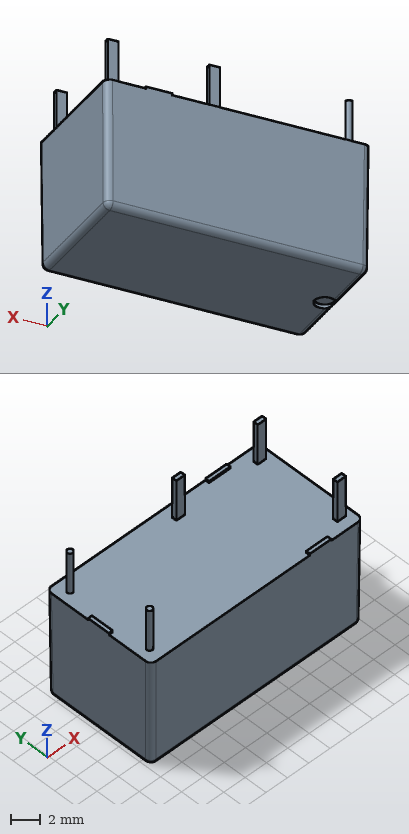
import cadquery as cq
import math

case_length = 19.9
case_width = 10.0
overall_height = 13.55
pin_length = 3.75
case_height = overall_height - pin_length
wall_inset = 0.08
corner_radius = 0.5
bottom_radius = 0.5

tab_length = 1.99
tab_depth = 0.35
tab_height = 0.14
side_tab_x = 5.95

dimple_diameter = 1.5
dimple_edge_gap = 0.2
dimple_depth = 0.3

pin_row_spacing = 7.62
pin_row_y = pin_row_spacing / 2
coil_pin_x = -8.9
coil_pin_diameter = 0.5
contact_pin_x = 8.9
common_pin_x = contact_pin_x - pin_row_spacing
contact_pin_width = 0.8
contact_pin_thickness = 0.4


def make_blank():
    """Tapered box reaching up to the tab tops, with rounded corners and a rounded lower rim."""
    blank_height = case_height + tab_height
    draft_angle = math.degrees(math.atan(wall_inset / blank_height))
    box = (
        cq.Workplane("XY", origin=(0, 0, tab_height))
        .rect(case_length, case_width)
        .extrude(-blank_height, taper=draft_angle)
    )
    rounded = box.edges("not(#Z)").fillet(corner_radius)
    return rounded.faces("<Z").edges().fillet(bottom_radius)


def make_top_clearance():
    """Layer removed from the blank's top at Z = 0, leaving a tab on the -X edge and on each long edge."""
    side_tab_y = (case_width - tab_depth) / 2
    end_tab_x = -(case_length - tab_depth) / 2
    top = cq.Workplane("XY")
    layer = top.rect(case_length, case_width).extrude(tab_height)
    side_tabs = (
        top.pushPoints([(side_tab_x, -side_tab_y), (side_tab_x, side_tab_y)])
        .rect(tab_length, tab_depth)
        .extrude(tab_height)
    )
    end_tab = top.center(end_tab_x, 0).rect(tab_depth, tab_length).extrude(tab_height)
    return layer.cut(side_tabs).cut(end_tab)


def make_dimple():
    """Shallow round recess in the underside that breaks into the rounded rim at the -X end."""
    center_x = -case_length / 2 + dimple_edge_gap + dimple_diameter / 2
    return (
        cq.Workplane("XY", origin=(center_x, 0, -case_height))
        .circle(dimple_diameter / 2)
        .extrude(dimple_depth)
    )


def make_pins():
    """All pins rise to the same height above the top face."""
    coil_pins = (
        cq.Workplane("XY")
        .pushPoints([(coil_pin_x, -pin_row_y), (coil_pin_x, pin_row_y)])
        .circle(coil_pin_diameter / 2)
        .extrude(pin_length)
    )
    contact_pins = (
        cq.Workplane("XY")
        .pushPoints([(contact_pin_x, -pin_row_y), (contact_pin_x, pin_row_y), (common_pin_x, pin_row_y)])
        .rect(contact_pin_width, contact_pin_thickness)
        .extrude(pin_length)
    )
    return coil_pins.union(contact_pins)


result = make_blank().cut(make_top_clearance()).cut(make_dimple()).union(make_pins())